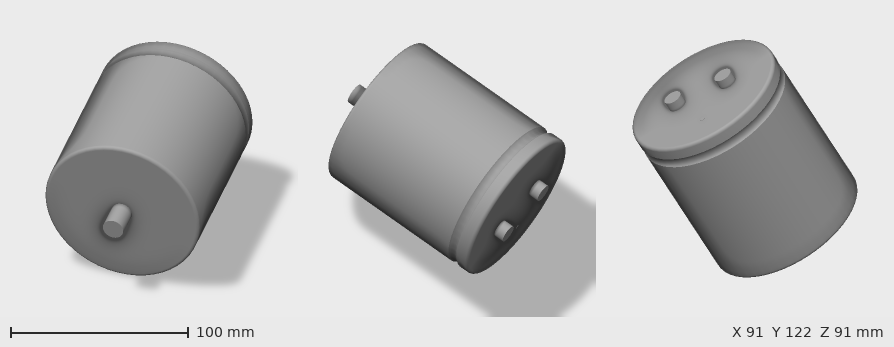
import cadquery as cq

overall_length = 122.0

can_diameter = 91.0
can_length = 100.0
rim_fillet = 2.0
can_radius = can_diameter / 2

groove_center_from_end = 10.7
groove_width = 6.0
groove_depth = 1.3

stud_diameter = 12.0
stud_length = 16.0

terminal_diameter = 10.2
terminal_spacing = 32.0
terminal_length = overall_length - can_length - stud_length

vent_diameter = 2.5
vent_height = 0.2
vent_z = -25.1

overlap = rim_fillet


def cylinder_along_y(diameter, start_y, end_y, center_x=0.0, center_z=0.0):
    """Cylinder parallel to Y whose axis passes through (center_x, center_z)."""
    return cq.Workplane(
        cq.Solid.makeCylinder(
            diameter / 2,
            end_y - start_y,
            cq.Vector(center_x, start_y, center_z),
            cq.Vector(0, 1, 0),
        )
    )


def terminal_side_post(diameter, height, center_x, center_z):
    """Round post standing on the terminal face of the can."""
    return cylinder_along_y(
        diameter, can_length - overlap, can_length + height, center_x, center_z
    )


def groove_ring():
    """Ring of arc-shaped section that cuts the crimp groove."""
    center_y = can_length - groove_center_from_end
    start_y = center_y - groove_width / 2
    end_y = center_y + groove_width / 2
    clear_radius = can_radius + groove_depth
    return (
        cq.Workplane("XY")
        .moveTo(can_radius, start_y)
        .threePointArc((can_radius - groove_depth, center_y), (can_radius, end_y))
        .lineTo(clear_radius, end_y)
        .lineTo(clear_radius, start_y)
        .close()
        .revolve(360, (0, 0, 0), (0, 1, 0))
    )


def grooved_can():
    """Can with both rims rounded and the crimp groove cut."""
    blank = cylinder_along_y(can_diameter, 0, can_length)
    return blank.edges("%CIRCLE").fillet(rim_fillet).cut(groove_ring())


result = grooved_can()
result = result.union(cylinder_along_y(stud_diameter, -stud_length, overlap))
for side in (-1, 1):
    terminal_x = side * terminal_spacing / 2
    result = result.union(
        terminal_side_post(terminal_diameter, terminal_length, terminal_x, 0)
    )
result = result.union(terminal_side_post(vent_diameter, vent_height, 0, vent_z))